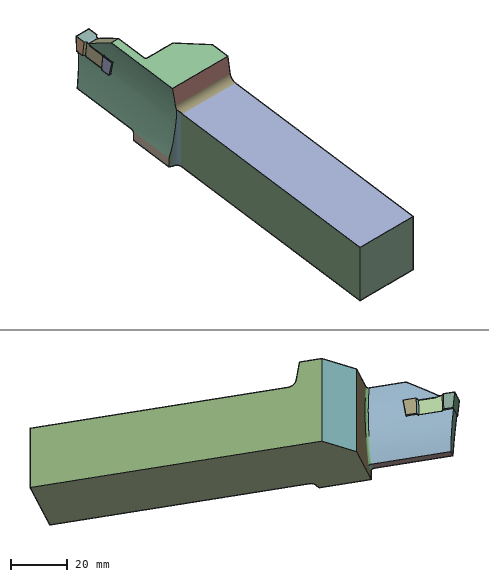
import cadquery as cq
import math

length = 150.0
depth = 28.5
shank_side = 25.0
shank_front = depth - shank_side
head_height = 35.0
head_left = 33.0
head_chamfer = 9.9
head_top_right = 51.2
head_back_foot = 52.8
head_back_fillet = 3.0
neck_radius = 2.1
neck_end = 54.8
foot_right = 52.0

front_radius = 97.5
front_crest_y = 2.7
front_crest_z = 27.0
back_radius = 48.0
back_crest_y = 7.0
back_crest_z = 24.0
blade_bottom = 4.5
blade_bottom_left = 3.0
slope_start_z = 26.1
slope_end_x = 18.6
root_fillet = 0.9
pick_margin = 0.2

insert_top = 25.8
insert_bottom = 19.8
insert_length = 19.0
end_length = 4.2
waist_taper = 0.68
waist_inset = 0.8
groove_depth = 0.5
groove_start = 5.0
groove_left = 6.9
bottom_bulge = 0.3
insert_front_top = 2.2
insert_width = 6.0
insert_lean = 0.68

relief_slope = blade_bottom_left / (insert_top - blade_bottom)
insert_relief = relief_slope * (insert_top - insert_bottom)


def disc(radius, crest_y, crest_z):
    """Cylinder along X whose largest Y lies at the given crest."""
    return (
        cq.Workplane("YZ").center(crest_y - radius, crest_z).circle(radius).extrude(length)
    )


def side_prism(points):
    """Prism along Y over the full depth, from (x, z) points."""
    return cq.Workplane("XZ").polyline(points).close().extrude(-depth)


def make_body_block():
    side = side_prism([
        (head_left, 0), (length, 0), (length, shank_side), (head_back_foot, shank_side),
        (head_top_right, head_height), (head_left, head_height),
    ])
    back_corner = cq.selectors.NearestToPointSelector((head_back_foot, depth / 2, shank_side))
    side = side.edges(back_corner).fillet(head_back_fillet)

    arc_offset = neck_radius * math.sqrt(0.5)
    arc_y = shank_front - neck_radius
    plan = (
        cq.Workplane("XY")
        .moveTo(head_left, 0)
        .lineTo(foot_right, 0)
        .lineTo(neck_end - neck_radius, arc_y)
        .threePointArc((neck_end - arc_offset, arc_y + arc_offset), (neck_end, shank_front))
        .lineTo(length, shank_front)
        .lineTo(length, depth)
        .lineTo(head_left + head_chamfer, depth)
        .lineTo(head_left, depth - head_chamfer)
        .close()
        .extrude(head_height)
    )
    return side.intersect(plan)


def make_blade():
    outline = side_prism([
        (blade_bottom_left, blade_bottom),
        (insert_relief, insert_bottom),
        (groove_left, insert_bottom),
        (groove_left, insert_top - groove_depth),
        (groove_left - (slope_start_z - insert_top + groove_depth), slope_start_z),
        (slope_end_x, head_height),
        (head_left + root_fillet, head_height),
        (head_left + root_fillet, blade_bottom),
    ])
    return outline.intersect(disc(back_radius, back_crest_y, back_crest_z))


def insert_side_prism():
    """Side outline of the insert over the full depth, also used as the seat."""
    waist_right = insert_length - end_length - waist_taper
    return side_prism([
        (0, insert_top),
        (groove_start, insert_top),
        (groove_left, insert_top - groove_depth),
        (waist_right - waist_taper, insert_top - groove_depth),
        (waist_right, insert_top),
        (insert_length, insert_top),
        (insert_length - insert_relief, insert_bottom),
        (waist_right, insert_bottom),
        (waist_right - bottom_bulge, insert_bottom - bottom_bulge),
        (end_length + waist_taper + bottom_bulge, insert_bottom - bottom_bulge),
        (end_length + waist_taper, insert_bottom),
        (insert_relief, insert_bottom),
    ])


def make_holder():
    holder = make_body_block().union(make_blade())
    corner_edges = holder.edges(cq.selectors.BoxSelector(
        (head_left - pick_margin, 0, blade_bottom - pick_margin),
        (head_left + pick_margin, back_crest_y + pick_margin, head_height - pick_margin),
    ))
    holder = corner_edges.fillet(root_fillet)
    holder = holder.cut(disc(front_radius, front_crest_y, front_crest_z))
    return holder.cut(insert_side_prism())


def make_insert():
    front = insert_front_top
    back = front + insert_width
    waist_left = end_length + waist_taper
    waist_right = insert_length - end_length - waist_taper
    lowest = insert_bottom - bottom_bulge
    lean = insert_lean * (insert_top - lowest) / (insert_top - insert_bottom)
    plan_points = [
        (0, front), (end_length, front), (waist_left, front + waist_inset),
        (waist_right - waist_taper, front + waist_inset), (waist_right, front),
        (insert_length, front), (insert_length, back), (waist_right, back),
        (waist_right - waist_taper, back - waist_inset), (waist_left, back - waist_inset),
        (end_length, back), (0, back),
    ]
    lower_points = [(x, y - lean) for x, y in plan_points]
    leaning = (
        cq.Workplane("XY", origin=(0, 0, lowest)).polyline(lower_points).close()
        .workplane(offset=insert_top - lowest).polyline(plan_points).close()
        .loft(ruled=True)
    )
    return leaning.intersect(insert_side_prism())


holder = make_holder()
insert = make_insert()
result = cq.Compound.makeCompound([holder.val(), insert.val()])